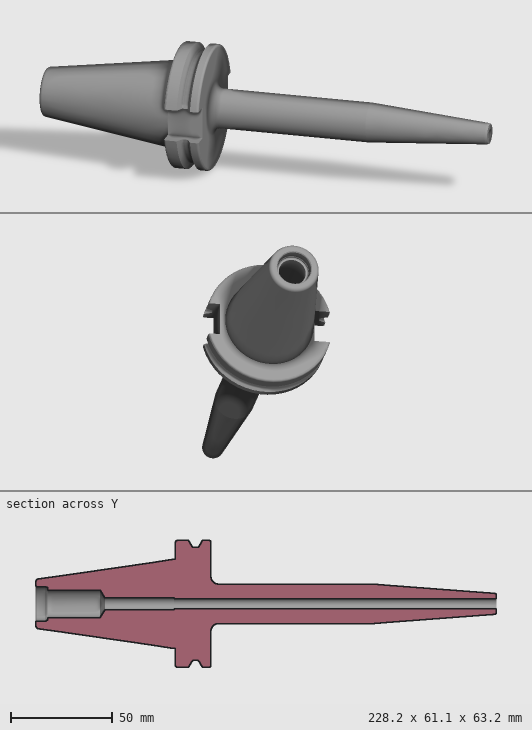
import cadquery as cq
import math

total_length = 228.2
gauge_x = 68.5

taper_ratio = 7 / 24
gauge_radius = 44.5 / 2
rear_radius = gauge_radius - gauge_x * taper_ratio / 2
rear_fillet = 1.8

flange_start = 69.2
flange_end = 87.0
flange_radius = 63.2 / 2
flange_rounding = 1.1
groove_center = 79.2
groove_half_width = 3.5
groove_bottom_radius = 28.0
groove_flank_angle = 30.0
groove_fillet = 0.7
cutter_clearance = 2.3

slot_width = 16.2
slot_floor_front = 22.5
slot_floor_back = 24.9

neck_radius = 19.9 / 2
neck_fillet = 3.7
nose_start = 167.0
nose_radius = 10.7 / 2
tip_radius = 10.0 / 2
tip_chamfer_length = 1.1

mouth_radius = 17.8 / 2
pilot_radius = 17.0 / 2
pilot_depth = 5.0
relief_radius = 16.2 / 2
relief_depth = 6.0
thread_radius = 13.5 / 2
thread_depth = 32.0
drill_radius = 5.7 / 2
drill_depth = 68.5
channel_radius = 4.8 / 2
cone_half_angle = 59.0


def revolve_about_x(profile):
    """Turn a closed (x, radius) profile a full revolution about the X axis."""
    return profile.close().revolve(360, (0, 0, 0), (1, 0, 0))


def make_body():
    profile = (
        cq.Workplane("XY")
        .moveTo(0, 0)
        .lineTo(0, rear_radius)
        .lineTo(gauge_x, gauge_radius)
        .lineTo(flange_start, gauge_radius)
        .lineTo(flange_start, flange_radius - flange_rounding)
        .radiusArc((flange_start + flange_rounding, flange_radius), flange_rounding)
        .lineTo(flange_end - flange_rounding, flange_radius)
        .radiusArc((flange_end, flange_radius - flange_rounding), flange_rounding)
        .lineTo(flange_end, neck_radius + neck_fillet)
        .radiusArc((flange_end + neck_fillet, neck_radius), -neck_fillet)
        .lineTo(nose_start, neck_radius)
        .lineTo(total_length - tip_chamfer_length, nose_radius)
        .lineTo(total_length, tip_radius)
        .lineTo(total_length, 0)
    )
    return revolve_about_x(profile).faces("<X").edges().fillet(rear_fillet)


def make_groove():
    groove_depth = flange_radius - groove_bottom_radius
    flank_run = groove_depth * math.tan(math.radians(groove_flank_angle))
    bottom_half_width = groove_half_width - flank_run
    clear_radius = flange_radius + cutter_clearance
    profile = (
        cq.Workplane("XY")
        .moveTo(groove_center - groove_half_width, clear_radius)
        .lineTo(groove_center - groove_half_width, flange_radius)
        .lineTo(groove_center - bottom_half_width, groove_bottom_radius)
        .lineTo(groove_center + bottom_half_width, groove_bottom_radius)
        .lineTo(groove_center + groove_half_width, flange_radius)
        .lineTo(groove_center + groove_half_width, clear_radius)
    )
    bottom_edges = cq.selectors.RadiusNthSelector(0)
    return revolve_about_x(profile).edges("%CIRCLE").edges(bottom_edges).fillet(groove_fillet)


def make_slot(floor, side):
    """Cutter for one drive slot; side is -1 toward -Y and +1 toward +Y."""
    depth = flange_radius - floor
    return cq.Workplane("XY").box(flange_end - flange_start, depth, slot_width).translate(
        ((flange_start + flange_end) / 2, side * (floor + depth / 2), 0)
    )


def make_bore():
    cone_length = (thread_radius - drill_radius) / math.tan(math.radians(cone_half_angle))
    profile = (
        cq.Workplane("XY")
        .moveTo(0, 0)
        .lineTo(0, mouth_radius)
        .lineTo(mouth_radius - pilot_radius, pilot_radius)
        .lineTo(pilot_depth, pilot_radius)
        .lineTo(pilot_depth + pilot_radius - relief_radius, relief_radius)
        .lineTo(relief_depth, relief_radius)
        .lineTo(relief_depth, thread_radius)
        .lineTo(thread_depth, thread_radius)
        .lineTo(thread_depth + cone_length, drill_radius)
        .lineTo(drill_depth, drill_radius)
        .lineTo(drill_depth, channel_radius)
        .lineTo(total_length, channel_radius)
        .lineTo(total_length, 0)
    )
    return revolve_about_x(profile)


result = (
    make_body()
    .cut(make_groove())
    .cut(make_slot(slot_floor_front, -1))
    .cut(make_slot(slot_floor_back, 1))
    .cut(make_bore())
)